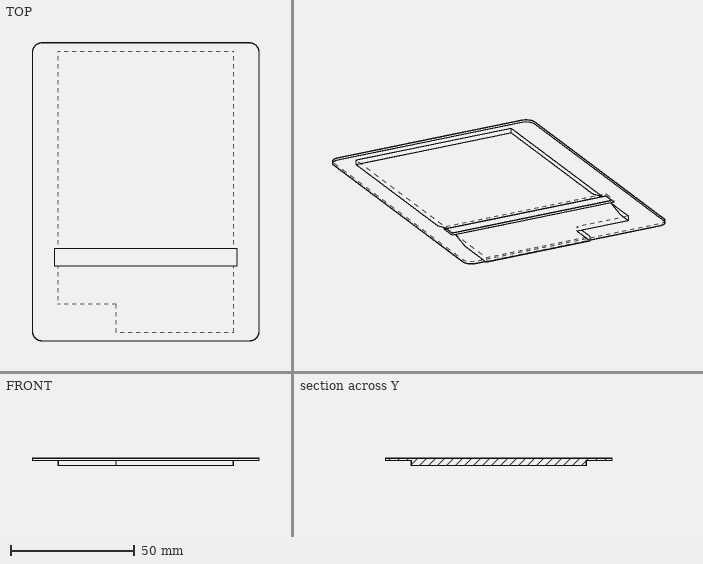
import cadquery as cq

plate_width = 92.0
plate_length = 121.0
plate_thickness = 1.0
corner_radius = 4.0

slot_width = 74.0
slot_front_y = -30.0
slot_back_y = -23.0
slot_length = slot_back_y - slot_front_y
slot_center_y = (slot_front_y + slot_back_y) / 2

pad_width = 71.0
pad_length = 114.0
pad_depth = 2.0
ramp_length = 8.5

notch_width = 23.5
notch_length = 11.5


def make_plate():
    """Thin plate with rounded corners and the rectangular slot."""
    plate = (
        cq.Workplane("XY")
        .rect(plate_width, plate_length)
        .extrude(plate_thickness)
        .edges("|Z")
        .fillet(corner_radius)
    )
    slot = (
        cq.Workplane("XY")
        .center(0, slot_center_y)
        .rect(slot_width, slot_length)
        .extrude(plate_thickness)
    )
    return plate.cut(slot)


def make_pad_section(outer_y, slot_edge_y):
    """Full-width length of pad from its outer end to the ramp at one slot edge."""
    away_from_slot = 1 if outer_y > slot_edge_y else -1
    ramp_foot_y = slot_edge_y + away_from_slot * ramp_length
    profile = [
        (outer_y, 0),
        (slot_edge_y, 0),
        (ramp_foot_y, -pad_depth),
        (outer_y, -pad_depth),
    ]
    return (
        cq.Workplane("YZ", origin=(-pad_width / 2, 0, 0))
        .polyline(profile)
        .close()
        .extrude(pad_width)
    )


def make_notch():
    """Block that clears the front left corner of the pad."""
    return (
        cq.Workplane("XY", origin=(-pad_width / 2, -pad_length / 2, -pad_depth))
        .rect(notch_width, notch_length, centered=False)
        .extrude(pad_depth)
    )


back_pad = make_pad_section(pad_length / 2, slot_back_y)
front_pad = make_pad_section(-pad_length / 2, slot_front_y).cut(make_notch())

result = make_plate().union(back_pad).union(front_pad)